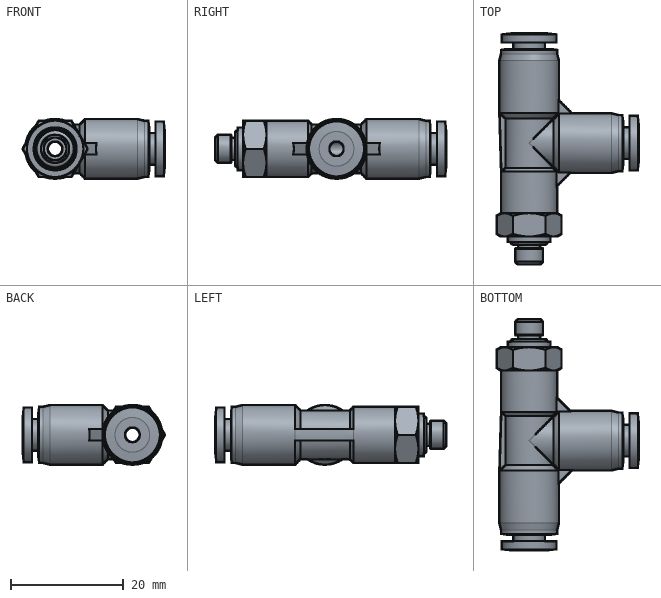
import cadquery as cq
import math


waist_radius = 4.35
barrel_diameter = 10.6
barrel_radius = barrel_diameter / 2
barrel_start = barrel_radius
taper_start = 14.58
taper_end = 15.8
mouth_radius = 5.0
mouth_edge = 16.5
mouth_face = 16.65
mouth_face_radius = 3.9
button_neck_radius = 2.83
button_radius = 4.87
button_start = 17.77
button_edge = 19.25
port_end = 19.45
button_face_radius = 3.07

lower_radius = mouth_radius
lower_start = lower_radius + 0.06
hex_start = 12.4
hex_end = 16.55
hex_sides = 6
hex_across_flats = 2 * lower_radius
hex_chamfer_angle = 30
flange_radius = 3.8
flange_end = 17.53
neck_radius = 2.0
neck_end = 18.6
thread_radius = 2.5
thread_lead_in = 0.15
thread_end = 21.5
thread_chamfer = 0.5

seal_section_radius = 0.65
seal_protrusion = 0.5
seal_pitch_radius = neck_radius + seal_section_radius
recess_depth = 2 * seal_section_radius - seal_protrusion
recess_mouth_radius = 3.5
recess_floor_radius = 3.35

web_thickness = 2.1
gusset_leg = 2.25
bore_radius = 1.25


def revolve_about_y(points):
    """Revolve a closed (radius, y) outline a full turn about the Y axis."""
    return cq.Workplane("XY").polyline(points).close().revolve(360, (0, 0), (0, 1))


def turn_to_branch(shape):
    """Swing a shape built along +Y round to lie along +X."""
    return shape.rotate((0, 0, 0), (0, 0, 1), -90)


def make_port():
    """Waist, barrel, tapered mouth and release button along +Y."""
    return revolve_about_y([
        (0, 0),
        (waist_radius, 0),
        (waist_radius, waist_radius),
        (barrel_radius, barrel_start),
        (barrel_radius, taper_start),
        (mouth_radius, taper_end),
        (mouth_radius, mouth_edge),
        (mouth_face_radius, mouth_face),
        (button_neck_radius, mouth_face),
        (button_neck_radius, button_start),
        (button_radius, button_start),
        (button_radius, button_edge),
        (button_face_radius, port_end),
        (0, port_end),
    ])


def make_lower_barrel():
    """Waist and lower barrel between the branch and the hexagon."""
    cone_start = lower_start - (lower_radius - waist_radius)
    return revolve_about_y([
        (0, 0),
        (waist_radius, 0),
        (waist_radius, -cone_start),
        (lower_radius, -lower_start),
        (lower_radius, -hex_start),
        (0, -hex_start),
    ])


def make_hexagon():
    """Hexagon with corners on X and a conical chamfer at both ends."""
    corner_radius = hex_across_flats / 2 / math.cos(math.pi / hex_sides)
    face_radius = hex_across_flats / 2
    chamfer_length = (corner_radius - face_radius) * math.tan(math.radians(hex_chamfer_angle))
    prism = (
        cq.Workplane("XZ", origin=(0, -hex_start, 0))
        .polygon(hex_sides, 2 * corner_radius)
        .extrude(hex_end - hex_start)
    )
    chamfer_envelope = revolve_about_y([
        (0, -hex_start),
        (face_radius, -hex_start),
        (corner_radius, -hex_start - chamfer_length),
        (corner_radius, -hex_end + chamfer_length),
        (face_radius, -hex_end),
        (0, -hex_end),
    ])
    return prism.intersect(chamfer_envelope)


def make_stud():
    """Flange with its seal recess, neck and thread."""
    recess_floor = flange_end - recess_depth
    return revolve_about_y([
        (0, -hex_end),
        (flange_radius, -hex_end),
        (flange_radius, -flange_end),
        (recess_mouth_radius, -flange_end),
        (recess_floor_radius, -recess_floor),
        (neck_radius, -recess_floor),
        (neck_radius, -neck_end),
        (thread_radius - thread_lead_in, -neck_end),
        (thread_radius, -neck_end - thread_lead_in),
        (thread_radius, -thread_end + thread_chamfer),
        (thread_radius - thread_chamfer, -thread_end),
        (0, -thread_end),
    ])


def make_back_rib():
    """Rib on the -X side that bridges the waist between the two barrels."""
    bridge = revolve_about_y([
        (0, barrel_start),
        (barrel_radius, barrel_start),
        (lower_radius, -lower_start),
        (0, -lower_start),
    ])
    slab_length = 2 * barrel_start
    slab = cq.Workplane("XY").box(
        barrel_radius, slab_length, web_thickness, centered=(False, True, True)
    ).translate((-barrel_radius, 0, 0))
    return bridge.intersect(slab)


def make_gusset(run_radius, side):
    """45 degree web in the corner between the branch and a run barrel; side is +1 or -1 along Y."""
    reach = run_radius + barrel_radius + gusset_leg - waist_radius
    return (
        cq.Workplane("XY")
        .polyline([
            (waist_radius, side * waist_radius),
            (reach, side * waist_radius),
            (waist_radius, side * reach),
        ])
        .close()
        .extrude(web_thickness / 2, both=True)
    )


def make_bores():
    """Bore through the whole run, joined by the branch bore."""
    run_bore = (
        cq.Workplane("XZ", origin=(0, port_end, 0))
        .circle(bore_radius)
        .extrude(port_end + thread_end)
    )
    branch_bore = cq.Workplane("YZ").circle(bore_radius).extrude(port_end)
    return run_bore.union(branch_bore)


def make_fitting():
    """Tee body with both ports, hexagon and stud as one solid."""
    port = make_port()
    return (
        port
        .union(turn_to_branch(port))
        .union(make_lower_barrel())
        .union(make_hexagon())
        .union(make_stud())
        .union(make_back_rib())
        .union(make_gusset(barrel_radius, 1))
        .union(make_gusset(lower_radius, -1))
        .cut(make_bores())
    )


def make_seal_ring():
    """Round-section ring seated on the neck and the recess floor."""
    seal_centre = flange_end + seal_protrusion - seal_section_radius
    return (
        cq.Workplane("XY")
        .center(seal_pitch_radius, -seal_centre)
        .circle(seal_section_radius)
        .revolve(360, (-seal_pitch_radius, 0), (-seal_pitch_radius, 1))
    )


fitting = make_fitting()
seal_ring = make_seal_ring()

result = cq.Compound.makeCompound([fitting.val(), seal_ring.val()])